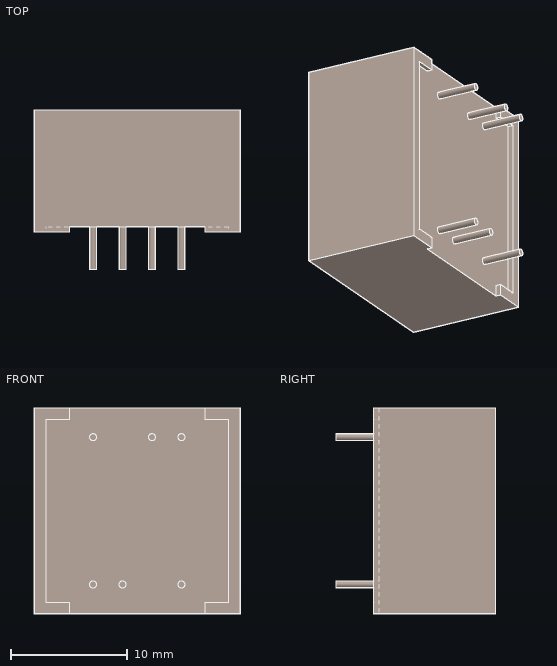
import cadquery as cq

case_side = 17.7
case_depth = 10.5
wall = 1.0
recess_depth = 0.46
corner_length = 3.05

pin_diameter = 0.6
pin_reach = 3.22
pin_pitch = 2.53
row_offset = 2.5 * pin_pitch
upper_columns = (-1.5, 0.5, 1.5)
lower_columns = (-1.5, -0.5, 1.5)

rim_y = -case_depth / 2
floor_y = rim_y + recess_depth


def make_case():
    """Block with a shallow recess that runs out through the top and bottom walls."""
    block = cq.Workplane("XY").box(case_side, case_depth, case_side)
    inner_side = case_side - 2 * wall
    notch_width = case_side - 2 * corner_length
    floor_plane = cq.Workplane("XZ", origin=(0, floor_y, 0))
    recess = floor_plane.rect(inner_side, inner_side).extrude(recess_depth)
    notches = floor_plane.rect(notch_width, case_side).extrude(recess_depth)
    return block.cut(recess).cut(notches)


def make_pins():
    """Round pins of both rows, pointing toward -Y."""
    centres = [(column * pin_pitch, row_offset) for column in upper_columns]
    centres += [(column * pin_pitch, -row_offset) for column in lower_columns]
    return (
        cq.Workplane("XZ", origin=(0, floor_y, 0))
        .pushPoints(centres)
        .circle(pin_diameter / 2)
        .extrude(recess_depth + pin_reach)
    )


result = make_case().union(make_pins())